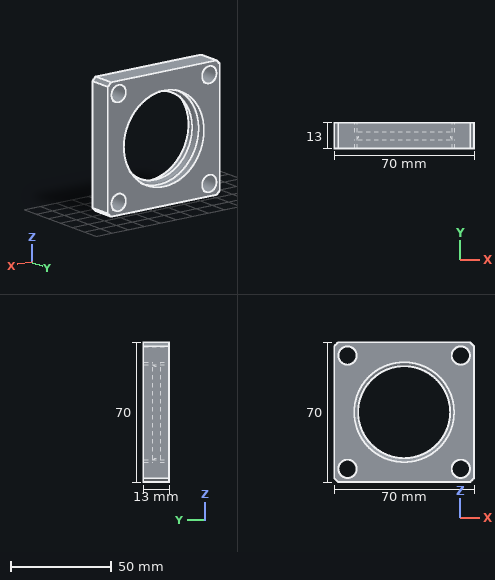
import cadquery as cq

side = 70.0
thickness = 13.0
corner_chamfer = 2.0

bore_diameter = 50.0
ridge_radius = 2.0

bolt_hole_diameter = 9.0
bolt_spacing = 56.6


def make_plate():
    plate = cq.Workplane("XY").box(side, thickness, side)
    return plate.edges("|Y").chamfer(corner_chamfer)


def make_ridge():
    """Half-round section on the bore wall, revolved about the Y axis."""
    bore_radius = bore_diameter / 2
    return (
        cq.Workplane("XY")
        .moveTo(bore_radius, -ridge_radius)
        .threePointArc((bore_radius - ridge_radius, 0), (bore_radius, ridge_radius))
        .close()
        .revolve(360, (0, 0, 0), (0, 1, 0))
    )


def make_bore():
    blank = cq.Workplane("XZ").circle(bore_diameter / 2).extrude(thickness / 2, both=True)
    return blank.cut(make_ridge())


def make_bolt_holes():
    return (
        cq.Workplane("XZ")
        .rarray(bolt_spacing, bolt_spacing, 2, 2)
        .circle(bolt_hole_diameter / 2)
        .extrude(thickness / 2, both=True)
    )


result = make_plate().cut(make_bore()).cut(make_bolt_holes())